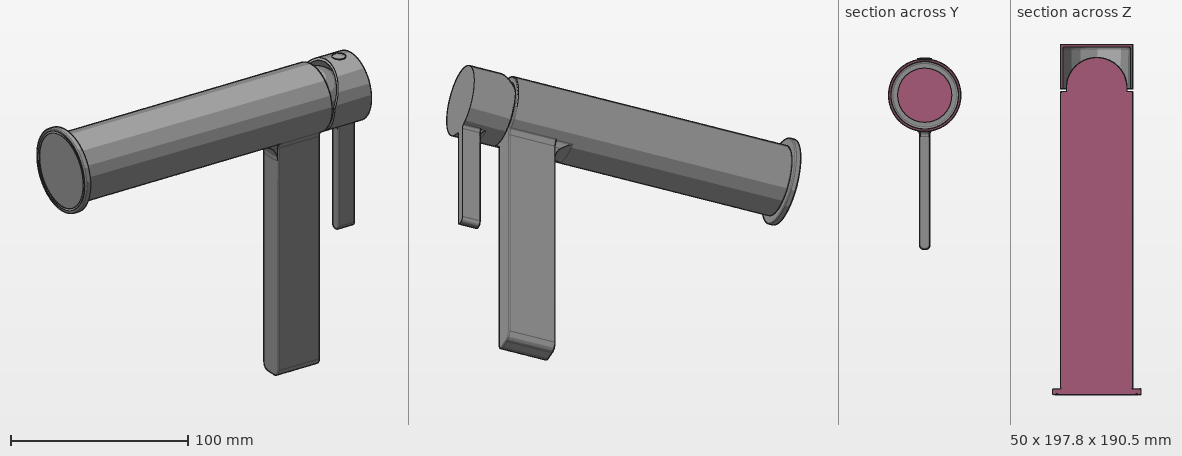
import cadquery as cq
import math

TOTAL_LENGTH = 197.8
EDGE_ROUND = 0.5

FLANGE_RADIUS = 50.0 / 2
FLANGE_THICKNESS = 3.5
GROOVE_RADIUS = 22.65
GROOVE_WIDTH = 1.2
BARREL_RADIUS = 41.0 / 2
BARREL_END = 171.3
OVERALL_HEIGHT = 190.5

LEG_WIDTH = 14.8
LEG_DEPTH = 28.5
LEG_BOTTOM = FLANGE_RADIUS - OVERALL_HEIGHT
LEG_CORNER = 4.4
LEG_SIDE_FLARE = 4.0
LEG_FRONT_FLARE = 9.9

NECK_RADIUS = 17.2
NECK_OFFSET = 2.0
NECK_CENTRE = BARREL_END + NECK_OFFSET

CAP_RADIUS = BARREL_RADIUS
CAP_GAP = 1.4
CAP_START = BARREL_END + CAP_GAP
CAVITY_RADIUS = 38.0 / 2
CAP_WALL = CAP_RADIUS - CAVITY_RADIUS
CAVITY_FLOOR = TOTAL_LENGTH - CAP_WALL
CAVITY_ROUND = 1.0
SLANT_LENGTH = 8.3

LEVER_WIDTH = 6.0
LEVER_DEPTH = 11.0
LEVER_BOTTOM = -87.0
LEVER_CORNER = 2.5
LEVER_SIDE_FLARE = 2.0
LEVER_FRONT_FLARE = 3.0

PLUG_RADIUS = 8.0 / 2
PLUG_Y = 189.3
PLUG_RISE = 0.4
PLUG_STEP = 0.2
PLUG_RIM = CAP_RADIUS + PLUG_STEP
PLUG_BASE = CAP_RADIUS - CAP_WALL / 2
PLUG_DOME = (PLUG_RADIUS**2 + PLUG_RISE**2) / (2 * PLUG_RISE)


def cylinder(radius, start, end):
    """Solid cylinder on the Y axis between two Y positions."""
    return cq.Workplane("XZ", origin=(0, start, 0)).circle(radius).extrude(start - end)


def flared_section(width, bottom, flare, barrel_radius, front, back):
    """Bar of the given width whose sides flare tangentially into a cylinder on the Y axis."""
    half = width / 2
    flare_x = half + flare
    flare_z = -math.sqrt((barrel_radius + flare) ** 2 - flare_x**2)
    ratio = barrel_radius / (barrel_radius + flare)
    touch_x = flare_x * ratio
    touch_z = flare_z * ratio
    mid_angle = math.atan2(touch_z - flare_z, touch_x - flare_x) / 2 + math.pi / 2
    mid_x = flare_x + flare * math.cos(mid_angle)
    mid_z = flare_z + flare * math.sin(mid_angle)
    return (
        cq.Workplane("XZ", origin=(0, front, 0))
        .moveTo(0, 0)
        .lineTo(touch_x, touch_z)
        .threePointArc((mid_x, mid_z), (half, flare_z))
        .lineTo(half, bottom)
        .lineTo(-half, bottom)
        .lineTo(-half, flare_z)
        .threePointArc((-mid_x, mid_z), (-touch_x, touch_z))
        .close()
        .extrude(front - back)
    )


def flare_bell(radius, flare, front):
    """Solid of revolution whose concave profile joins a cylinder to a flat face at Y = front."""
    outer = radius + flare
    mid = flare * (1 - math.sqrt(0.5))
    return (
        cq.Workplane("XY")
        .moveTo(0, front - flare)
        .lineTo(radius, front - flare)
        .threePointArc((radius + mid, front - mid), (outer, front))
        .lineTo(0, front)
        .close()
        .revolve(360, (0, 0, 0), (0, 1, 0))
    )


def hanging_bar(width, depth, bottom, corner, side_flare, front_flare, radius, back):
    """Bar below a cylinder with a rounded front, flared into the cylinder at the sides and the front."""
    front = back - depth
    front_box = cq.selectors.BoxSelector(
        (-width, front - EDGE_ROUND, bottom - EDGE_ROUND), (width, front + EDGE_ROUND, -radius)
    )
    bar = flared_section(width, bottom, side_flare, radius, front, back)
    bar = bar.edges("|Y and <Z").fillet(corner)
    bar = bar.edges(front_box).fillet(EDGE_ROUND)
    web_width = width - 2 * EDGE_ROUND
    web = flared_section(web_width, bottom, side_flare, radius, front - front_flare, front)
    return bar.union(web.intersect(flare_bell(radius, front_flare, front)))


def make_body():
    """Flange, barrel, leg and domed neck as one solid."""
    flange = cylinder(FLANGE_RADIUS, 0, FLANGE_THICKNESS).edges().fillet(EDGE_ROUND)
    groove = (
        cq.Workplane("XY")
        .moveTo(GROOVE_RADIUS, 0)
        .circle(GROOVE_WIDTH / 2)
        .revolve(360, (0, 0, 0), (0, 1, 0))
    )
    barrel = cylinder(BARREL_RADIUS, FLANGE_THICKNESS, BARREL_END).edges("<Y").fillet(EDGE_ROUND)
    leg = hanging_bar(LEG_WIDTH, LEG_DEPTH, LEG_BOTTOM, LEG_CORNER, LEG_SIDE_FLARE, LEG_FRONT_FLARE,
                      BARREL_RADIUS, BARREL_END)
    neck = cq.Workplane("XY", origin=(0, NECK_CENTRE, 0)).sphere(NECK_RADIUS)
    barrel = barrel.union(leg).faces(">Y").edges().fillet(EDGE_ROUND)
    return flange.cut(groove).union(barrel).union(neck)


def make_handle():
    """Hollow cap with a slanted mouth, its lever and its top plug as one solid."""
    cap = cylinder(CAP_RADIUS, CAP_START, TOTAL_LENGTH)
    lever = hanging_bar(LEVER_WIDTH, LEVER_DEPTH, LEVER_BOTTOM, LEVER_CORNER, LEVER_SIDE_FLARE,
                        LEVER_FRONT_FLARE, CAP_RADIUS, TOTAL_LENGTH)
    plug = (
        cq.Workplane("XZ", origin=(0, PLUG_Y, 0))
        .moveTo(0, PLUG_BASE)
        .lineTo(PLUG_RADIUS, PLUG_BASE)
        .lineTo(PLUG_RADIUS, PLUG_RIM)
        .radiusArc((0, PLUG_RIM + PLUG_RISE), -PLUG_DOME)
        .close()
        .revolve(360, (0, 0, 0), (0, 1, 0))
    )
    cavity = cylinder(CAVITY_RADIUS, CAP_START, CAVITY_FLOOR).edges(">Y").fillet(CAVITY_ROUND)
    slant = (
        cq.Workplane("YZ")
        .polyline([(CAP_START, 0), (CAP_START, CAP_RADIUS), (CAP_START + SLANT_LENGTH, CAP_RADIUS)])
        .close()
        .extrude(CAP_RADIUS, both=True)
    )
    return cap.union(lever).cut(cavity).cut(slant).union(plug)


body = make_body()
handle = make_handle()
result = cq.Compound.makeCompound([body.solids().val(), handle.solids().val()])